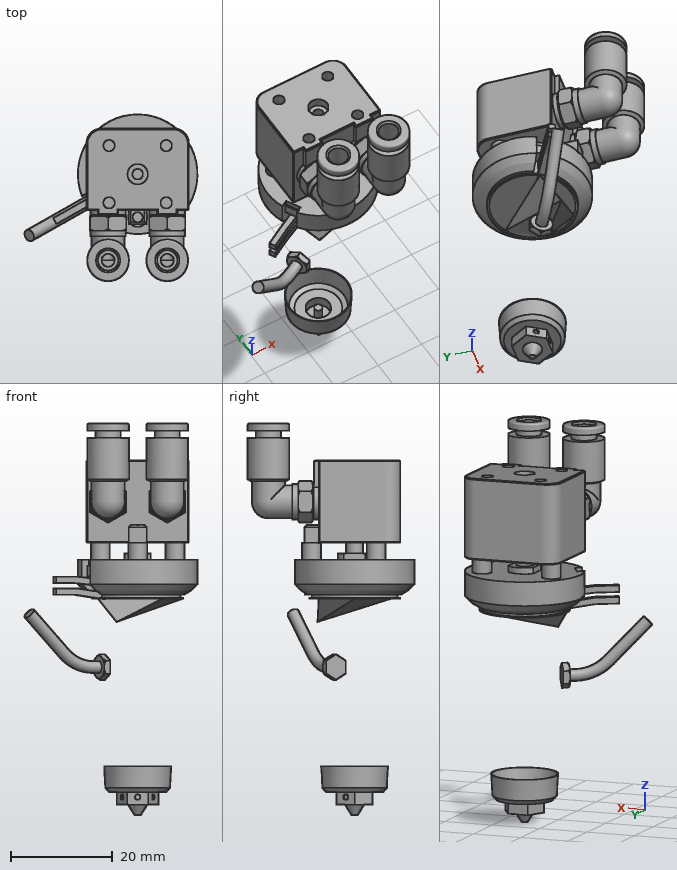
import cadquery as cq
import math

EDGE_BREAK = 0.2

BLOCK_WIDTH = 20.15
BLOCK_FRONT_Y = -7.1
BLOCK_REAR_Y = 9.0
BLOCK_BOTTOM_Z = 53.45
BLOCK_TOP_Z = 69.7
BLOCK_REAR_RADIUS = 3.0
CORNER_HOLE_DIAMETER = 2.2
CORNER_HOLE_OFFSET = 5.6
CORNER_HOLE_DEPTH = 5.0
TUBE_SEAT_DIAMETER = 4.0
TUBE_SEAT_DEPTH = 2.0
FILAMENT_DIAMETER = 2.1
PAD_WIDTH = 4.1
PAD_DEPTH = 0.9
TAB_WIDTH = 3.5
TAB_FRONT_Y = -9.85
TAB_TOP_Z = 57.0
TAB_TOP_BEVEL = 0.45
TAB_HOLE_DIAMETER = 2.0

FITTING_SPACING = 11.6
FITTING_X = FITTING_SPACING / 2
FITTING_Y = -16.9
FITTING_Z = 61.5
TOP_Z = 76.9
FITTING_BACK_Y = BLOCK_FRONT_Y - PAD_DEPTH
FITTING_NECK_LENGTH = 0.2
FITTING_HEX_FRONT_Y = -11.1
SHOULDER_FRONT_Y = -12.2
SHOULDER_DIAMETER = 7.0
BARREL_DIAMETER = 8.2
ELBOW_DIAMETER = 6.5
COLLET_NECK_DIAMETER = 5.0
COLLET_BORE_DIAMETER = 4.0
COLLET_ENTRY_DIAMETER = 4.8
COLLET_ENTRY_DEPTH = 0.4
COLLET_BORE_DEPTH = 9.2
FLOW_DIAMETER = 2.5
COLLET_EDGE_RADIUS = 0.4
COLLET_BOTTOM_Z = 75.45
BARREL_TOP_Z = 74.05
BARREL_BOTTOM_Z = 65.9
BARREL_TAPER_Z = 65.5
HEX_CORNER_BREAK = 0.3

DISC_RADIUS = 11.8
DISC_TOP_Z = 50.15
DISC_WALL_BOTTOM_Z = 45.4
DISC_BEVEL_RADIUS = 10.45
DISC_BEVEL_Z = 44.1
DISC_BASE_RADIUS = 9.0
DISC_BASE_Z = 43.2
POST_DIAMETER = 3.8
POST_CIRCLE_RADIUS = 8.45
POST_COUNT = 3

OUTLET_ANGLE = 209.5
NOTCH_WIDTH = 3.2
NOTCH_WALL = 10.15

STEM_DIAMETER = 3.4
FLANGE_DIAMETER = 6.7
FLANGE_FLATS = 5.2
FLANGE_TOP_Z = 51.4
PLATE_RADIUS = 8.45
RIM_RADIUS = 8.9
RIM_THICKNESS = 0.19
PLATE_BOTTOM_Z = 42.45
LEAD_BLOCK_START = 6.15
LEAD_BLOCK_END = 8.1
LEAD_BLOCK_TOP_Z = 49.0
LEDGE_END = 10.45
LEDGE_BOTTOM_Z = 46.9
LEAD_SIZE = 1.3
LEAD_END = 18.7
LEAD_BEND = 13.85
LEAD_START = 7.7
UPPER_LEAD_Z = 46.8
UPPER_LEAD_DROP = 0.6
LOWER_LEAD_Z = 44.5
LOWER_LEAD_DROP = 0.85
SPIKE_CORNERS = [(-7.8, -4.0), (4.8, -7.1), (8.8, 0.0), (4.6, 7.1)]
SPIKE_TIP = (-4.15, -7.3, 37.9)

TUBE_DIAMETER = 2.4
TUBE_END = 24.45
TUBE_BEND_END = 16.6
TUBE_BEND_START = 10.1
TUBE_BEND_ANGLE = 45.0
HEAD_Z = 29.1
HEAD_INNER = 7.4
HEAD_OUTER = 8.8
HEAD_CORNERS = 5.1

CUP_TOP_Z = 9.6
CUP_TOP_RADIUS = 6.6
CUP_WALL_BOTTOM_Z = 5.4
CUP_LOWER_RADIUS = 6.4
CUP_BOTTOM_Z = 4.5
CUP_BOTTOM_RADIUS = 5.6
CUP_RIM_WIDTH = 0.15
CUP_BEVEL_Z = 5.9
CUP_BEVEL_RADIUS = 5.8
CUP_FLOOR_Z = 5.45
CUP_FLOOR_RADIUS = 4.7
WELL_DIAMETER = 5.0
WELL_BOTTOM_Z = 3.15
PIN_DIAMETER = 1.6
PIN_TOP_Z = 5.6
NOZZLE_HEX_BOTTOM_Z = 2.1
NOZZLE_HEX_CORNERS = 8.2
CONE_RADIUS = 1.9
TIP_RADIUS = 0.6
DIMPLE_DIAMETER = 1.1
DIMPLE_DEPTH = 0.3
DIMPLE_Z = 3.5
DIMPLE_ANGLES = (210, 270, 330)


def rod(diameter, bottom_z, top_z, x=0.0, y=0.0):
    """Upright cylinder."""
    return (
        cq.Workplane("XY", origin=(x, y, bottom_z))
        .circle(diameter / 2)
        .extrude(top_z - bottom_z)
    )


def level_rod(diameter, back_y, front_y):
    """Cylinder at X = 0 and the fitting height, from back_y toward -Y."""
    return (
        cq.Workplane("XZ", origin=(0, back_y, FITTING_Z))
        .circle(diameter / 2)
        .extrude(back_y - front_y)
    )


def turned(profile):
    """Solid of revolution about Z from (radius, z) points."""
    return cq.Workplane("XZ").polyline(profile).close().revolve(360, (0, 0, 0), (0, 1, 0))


def hexagon(corners, length, bevelled_ends):
    """Hexagonal prism along Z with two corners on X, its corners bevelled at the selected ends."""
    prism = cq.Workplane("XY").polygon(6, corners).extrude(length)
    envelope = rod(corners, 0, length).faces(bevelled_ends).edges().chamfer(HEX_CORNER_BREAK)
    return prism.intersect(envelope)


def to_outlet(shape):
    """Turn a shape built along +X into the outlet direction."""
    return shape.rotate((0, 0, 0), (0, 0, 1), OUTLET_ANGLE)


def outlet_box(start, end, bottom_z, top_z):
    """Notch-wide box along the outlet direction."""
    box = cq.Workplane("XY", origin=(start, 0, bottom_z)).box(
        end - start, NOTCH_WIDTH, top_z - bottom_z, centered=(False, True, False)
    )
    return to_outlet(box)


def make_block():
    height = BLOCK_TOP_Z - BLOCK_BOTTOM_Z
    depth = BLOCK_REAR_Y - BLOCK_FRONT_Y
    block = cq.Workplane("XY", origin=(0, BLOCK_FRONT_Y, BLOCK_BOTTOM_Z)).box(
        BLOCK_WIDTH, depth, height, centered=(True, False, False)
    )
    block = block.edges("|Z and >Y").fillet(BLOCK_REAR_RADIUS)
    block = block.edges("|Z and <Y").chamfer(EDGE_BREAK)

    for x in (-FITTING_X, FITTING_X):
        pad = cq.Workplane("XY", origin=(x, FITTING_BACK_Y, FITTING_Z)).box(
            PAD_WIDTH, PAD_DEPTH, BLOCK_TOP_Z - FITTING_Z, centered=(True, False, False)
        )
        block = block.union(pad)
    block = block.faces("<Z or >Z").edges().chamfer(EDGE_BREAK)

    for x in (-FITTING_X, FITTING_X):
        boss = level_rod(SHOULDER_DIAMETER, BLOCK_FRONT_Y, FITTING_BACK_Y)
        block = block.union(boss.translate((x, 0, 0)))

    tab = cq.Workplane("XY", origin=(0, TAB_FRONT_Y, BLOCK_BOTTOM_Z)).box(
        TAB_WIDTH,
        BLOCK_FRONT_Y - TAB_FRONT_Y,
        TAB_TOP_Z - BLOCK_BOTTOM_Z,
        centered=(True, False, False),
    )
    tab = tab.faces(">Z").edges("not >Y").chamfer(TAB_TOP_BEVEL)
    block = block.union(tab)
    block = block.cut(rod(TAB_HOLE_DIAMETER, BLOCK_BOTTOM_Z, TAB_TOP_Z, y=-POST_CIRCLE_RADIUS))

    for x in (-CORNER_HOLE_OFFSET, CORNER_HOLE_OFFSET):
        for y in (-CORNER_HOLE_OFFSET, CORNER_HOLE_OFFSET):
            hole = rod(CORNER_HOLE_DIAMETER, BLOCK_TOP_Z - CORNER_HOLE_DEPTH, BLOCK_TOP_Z, x, y)
            block = block.cut(hole)

    block = block.cut(rod(TUBE_SEAT_DIAMETER, BLOCK_TOP_Z - TUBE_SEAT_DEPTH, BLOCK_TOP_Z))
    return block.cut(rod(FILAMENT_DIAMETER, BLOCK_BOTTOM_Z, BLOCK_TOP_Z))


def make_fitting(x):
    barrel_radius = BARREL_DIAMETER / 2
    elbow_radius = ELBOW_DIAMETER / 2
    neck_radius = COLLET_NECK_DIAMETER / 2

    upright = turned([
        (0, FITTING_Z),
        (elbow_radius, FITTING_Z),
        (elbow_radius, BARREL_TAPER_Z),
        (barrel_radius, BARREL_BOTTOM_Z),
        (barrel_radius, BARREL_TOP_Z),
        (neck_radius, BARREL_TOP_Z),
        (neck_radius, COLLET_BOTTOM_Z),
        (barrel_radius, COLLET_BOTTOM_Z),
        (barrel_radius, TOP_Z),
        (0, TOP_Z),
    ])
    upright = upright.edges(">Z").fillet(COLLET_EDGE_RADIUS).translate((0, FITTING_Y, 0))
    corner = cq.Workplane("XY", origin=(0, FITTING_Y, FITTING_Z)).sphere(elbow_radius)

    hex_back_y = FITTING_BACK_Y - FITTING_NECK_LENGTH
    hex_part = (
        hexagon(BARREL_DIAMETER, hex_back_y - FITTING_HEX_FRONT_Y, "<Z or >Z")
        .rotate((0, 0, 0), (0, 0, 1), 90)
        .rotate((0, 0, 0), (1, 0, 0), 90)
        .translate((0, hex_back_y, FITTING_Z))
    )
    neck = level_rod(SHOULDER_DIAMETER, FITTING_BACK_Y, hex_back_y)
    shoulder = level_rod(SHOULDER_DIAMETER, FITTING_HEX_FRONT_Y, SHOULDER_FRONT_Y)
    level_tube = level_rod(ELBOW_DIAMETER, SHOULDER_FRONT_Y, FITTING_Y)
    fitting = upright.union(corner).union(level_tube).union(shoulder).union(hex_part).union(neck)

    flow_radius = FLOW_DIAMETER / 2
    bore_radius = COLLET_BORE_DIAMETER / 2
    upright_bore = turned([
        (0, FITTING_Z),
        (flow_radius, FITTING_Z),
        (flow_radius, TOP_Z - COLLET_BORE_DEPTH),
        (bore_radius, TOP_Z - COLLET_BORE_DEPTH),
        (bore_radius, TOP_Z - COLLET_ENTRY_DEPTH),
        (COLLET_ENTRY_DIAMETER / 2, TOP_Z),
        (0, TOP_Z),
    ]).translate((0, FITTING_Y, 0))
    level_bore = level_rod(FLOW_DIAMETER, FITTING_BACK_Y, FITTING_Y)
    fitting = fitting.cut(upright_bore).cut(level_bore)
    return fitting.translate((x, 0, 0))


def make_disc():
    disc = turned([
        (0, DISC_BASE_Z),
        (DISC_BASE_RADIUS, DISC_BASE_Z),
        (DISC_BEVEL_RADIUS, DISC_BEVEL_Z),
        (DISC_RADIUS, DISC_WALL_BOTTOM_Z),
        (DISC_RADIUS, DISC_TOP_Z),
        (0, DISC_TOP_Z),
    ])
    for index in range(POST_COUNT):
        angle = math.radians(-90 + index * 360 / POST_COUNT)
        x = POST_CIRCLE_RADIUS * math.cos(angle)
        y = POST_CIRCLE_RADIUS * math.sin(angle)
        disc = disc.union(rod(POST_DIAMETER, DISC_TOP_Z, BLOCK_BOTTOM_Z, x, y))

    disc = disc.cut(outlet_box(NOTCH_WALL, DISC_RADIUS, DISC_BASE_Z, DISC_TOP_Z))
    disc = disc.cut(outlet_box(LEAD_BLOCK_START, NOTCH_WALL, DISC_BASE_Z, LEAD_BLOCK_TOP_Z))
    return disc.cut(rod(STEM_DIAMETER, DISC_BASE_Z, DISC_TOP_Z))


def make_lead(outer_top_z, drop):
    """Square lead: level outside the bend, sloping down toward the disc inside it."""
    lead = (
        cq.Workplane("XZ", origin=(0, LEAD_SIZE / 2, 0))
        .polyline([
            (LEAD_END, outer_top_z),
            (LEAD_BEND, outer_top_z),
            (LEAD_START, outer_top_z - drop),
            (LEAD_START, outer_top_z - drop - LEAD_SIZE),
            (LEAD_BEND, outer_top_z - LEAD_SIZE),
            (LEAD_END, outer_top_z - LEAD_SIZE),
        ])
        .close()
        .extrude(LEAD_SIZE)
    )
    return to_outlet(lead)


def make_spike():
    """Pyramid under the plate with its tip far off the axis."""
    base = [cq.Vector(x, y, PLATE_BOTTOM_Z) for x, y in SPIKE_CORNERS]
    tip = cq.Vector(*SPIKE_TIP)
    faces = [cq.Face.makeFromWires(cq.Wire.makePolygon(base, close=True))]
    for start, end in zip(base, base[1:] + base[:1]):
        faces.append(cq.Face.makeFromWires(cq.Wire.makePolygon([start, end, tip], close=True)))
    return cq.Workplane(cq.Solid.makeSolid(cq.Shell.makeShell(faces)))


def make_core():
    core = rod(STEM_DIAMETER, DISC_BASE_Z, BLOCK_BOTTOM_Z)
    flange = rod(FLANGE_DIAMETER, DISC_TOP_Z, FLANGE_TOP_Z)
    flats = cq.Workplane("XY", origin=(0, 0, DISC_TOP_Z)).box(
        FLANGE_FLATS, FLANGE_DIAMETER, FLANGE_TOP_Z - DISC_TOP_Z, centered=(True, True, False)
    )
    core = core.union(flange.intersect(flats))
    core = core.union(rod(2 * PLATE_RADIUS, PLATE_BOTTOM_Z, DISC_BASE_Z))
    core = core.union(rod(2 * RIM_RADIUS, PLATE_BOTTOM_Z, PLATE_BOTTOM_Z + RIM_THICKNESS))
    core = core.union(make_spike())
    core = core.union(outlet_box(LEAD_BLOCK_START, LEAD_BLOCK_END, DISC_BASE_Z, LEAD_BLOCK_TOP_Z))
    core = core.union(outlet_box(LEAD_BLOCK_END, LEDGE_END, LEDGE_BOTTOM_Z, LEAD_BLOCK_TOP_Z))
    core = core.union(make_lead(UPPER_LEAD_Z, UPPER_LEAD_DROP))
    return core.union(make_lead(LOWER_LEAD_Z, LOWER_LEAD_DROP))


def make_bent_tube():
    angle = math.radians(TUBE_BEND_ANGLE)
    bend_radius = (TUBE_BEND_END - TUBE_BEND_START) / math.sin(angle)
    bend_rise = bend_radius * (1 - math.cos(angle))
    half_sine = math.sin(angle / 2)
    half_cosine = math.cos(angle / 2)
    bend_middle = (TUBE_BEND_START + bend_radius * half_sine, HEAD_Z + bend_radius * (1 - half_cosine))
    end_z = HEAD_Z + bend_rise + (TUBE_END - TUBE_BEND_END) * math.tan(angle)
    path = (
        cq.Workplane("XZ")
        .moveTo(HEAD_OUTER, HEAD_Z)
        .lineTo(TUBE_BEND_START, HEAD_Z)
        .threePointArc(bend_middle, (TUBE_BEND_END, HEAD_Z + bend_rise))
        .lineTo(TUBE_END, end_z)
    )
    tube = cq.Workplane("YZ", origin=(HEAD_OUTER, 0, HEAD_Z)).circle(TUBE_DIAMETER / 2).sweep(path)
    head = (
        hexagon(HEAD_CORNERS, HEAD_OUTER - HEAD_INNER, ">Z")
        .rotate((0, 0, 0), (0, 1, 0), 90)
        .translate((HEAD_INNER, 0, HEAD_Z))
    )
    return to_outlet(tube.union(head))


def make_nozzle():
    nozzle = turned([
        (0, CUP_BOTTOM_Z),
        (CUP_BOTTOM_RADIUS, CUP_BOTTOM_Z),
        (CUP_LOWER_RADIUS, CUP_WALL_BOTTOM_Z),
        (CUP_TOP_RADIUS, CUP_TOP_Z),
        (CUP_TOP_RADIUS - CUP_RIM_WIDTH, CUP_TOP_Z),
        (CUP_BEVEL_RADIUS, CUP_BEVEL_Z),
        (CUP_FLOOR_RADIUS, CUP_FLOOR_Z),
        (0, CUP_FLOOR_Z),
    ])
    hex_part = (
        cq.Workplane("XY", origin=(0, 0, NOZZLE_HEX_BOTTOM_Z))
        .polygon(6, NOZZLE_HEX_CORNERS)
        .extrude(CUP_BOTTOM_Z - NOZZLE_HEX_BOTTOM_Z)
    )
    cone = turned([(0, 0), (TIP_RADIUS, 0), (CONE_RADIUS, NOZZLE_HEX_BOTTOM_Z), (0, NOZZLE_HEX_BOTTOM_Z)])
    nozzle = nozzle.union(hex_part).union(cone)

    nozzle = nozzle.cut(rod(WELL_DIAMETER, WELL_BOTTOM_Z, CUP_FLOOR_Z))
    nozzle = nozzle.union(rod(PIN_DIAMETER, WELL_BOTTOM_Z, PIN_TOP_Z))

    flat_distance = NOZZLE_HEX_CORNERS / 2 * math.cos(math.radians(30))
    for angle in DIMPLE_ANGLES:
        dimple = (
            cq.Workplane("YZ", origin=(flat_distance - DIMPLE_DEPTH, 0, DIMPLE_Z))
            .circle(DIMPLE_DIAMETER / 2)
            .extrude(DIMPLE_DEPTH)
        )
        nozzle = nozzle.cut(dimple.rotate((0, 0, 0), (0, 0, 1), angle))
    return nozzle


block = make_block()
fittings = [make_fitting(x).val() for x in (-FITTING_X, FITTING_X)]
disc = make_disc()
core = make_core()
bent_tube = make_bent_tube()
nozzle = make_nozzle()

result = cq.Compound.makeCompound(
    [block.val(), *fittings, disc.val(), core.val(), bent_tube.val(), nozzle.val()]
)